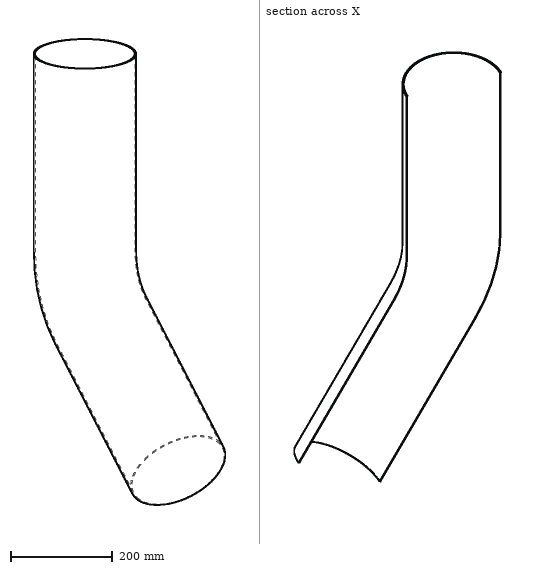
import cadquery as cq
import math

outer_diameter = 203.2
inner_diameter = 197.1
bend_angle = 30.0
bend_radius = 1.5 * outer_diameter
leg_length = 2.0 * outer_diameter


def bend_point(angle):
    """Centreline point (Y, Z) at an angle in degrees into the bend, which starts at the origin."""
    turn = math.radians(angle)
    return (bend_radius * (1 - math.cos(turn)), -bend_radius * math.sin(turn))


def centreline():
    """Vertical leg down to the origin, bend toward +Y, then the sloping leg."""
    middle = bend_point(bend_angle / 2)
    end = bend_point(bend_angle)
    slope = math.radians(bend_angle)
    leg_end = (end[0] + leg_length * math.sin(slope), end[1] - leg_length * math.cos(slope))
    return (
        cq.Workplane("YZ")
        .moveTo(0, leg_length)
        .lineTo(0, 0)
        .threePointArc(middle, end)
        .lineTo(*leg_end)
    )


def pipe():
    """Ring section at the top of the vertical leg, swept along the centreline."""
    return (
        cq.Workplane("XY", origin=(0, 0, leg_length))
        .circle(outer_diameter / 2)
        .circle(inner_diameter / 2)
        .sweep(centreline())
    )


result = pipe()